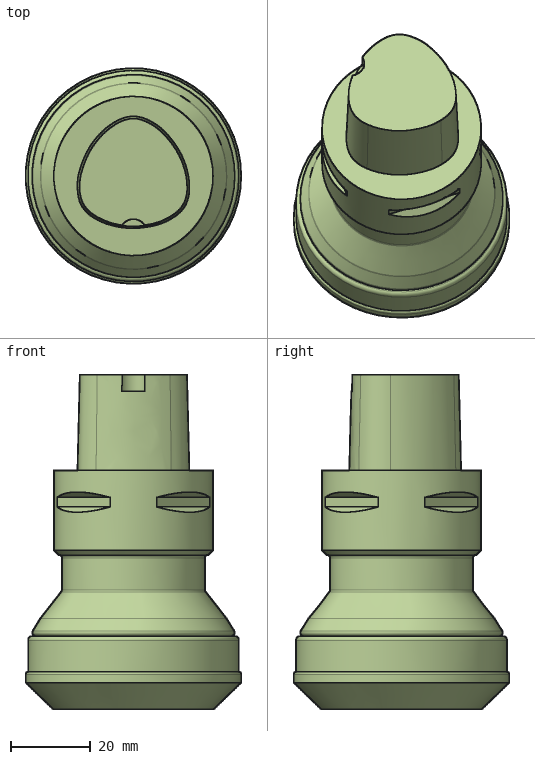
import cadquery as cq
import math

TOTAL_HEIGHT = 84.05

SHANK_HEIGHT = 24.0
SHANK_BASE_RADIUS = 14.08
SHANK_TOP_RADIUS = 13.49
LOBE_RISE = 0.9
LOBE_COUNT = 3
FIRST_LOBE_ANGLE = 90
CURVE_STEPS = 4

NOTCH_RADIUS = 3.4
NOTCH_CENTER_Y = -14.2
NOTCH_DEPTH = 4.2

FLANGE_RADIUS = 20.0
FLANGE_TOP = TOTAL_HEIGHT - SHANK_HEIGHT
FLANGE_HEIGHT = 21.3
FLANGE_BOTTOM = FLANGE_TOP - FLANGE_HEIGHT
FLANGE_CHAMFER = 1.2
SLOT_Z = 52.0
SLOT_FLOOR_RADIUS = 17.65
SLOT_FLOOR_HEIGHT = 2.35
SLOT_SIDE_ANGLE = 30
SLOT_ANGLES = (45, 135, 225, 315)
SLOT_CLEARANCE = 1.7

NECK_RADIUS = 18.0
NECK_BOTTOM = 29.75
NECK_FILLET = 0.7
SHOULDER_RADIUS = 23.4
SHOULDER_Z = 22.9
SHOULDER_ROUND = 1.3
SEAT_RADIUS = 26.1
SEAT_Z = 18.4
SEAT_ROUND = 0.8

RING_RADIUS = 26.52
RING_TOP_ROUND = 1.0
RIM_RADIUS = 27.11
RIM_TOP = 9.4
RIM_ROUND = RIM_RADIUS - RING_RADIUS
RIM_BOTTOM = 6.7
BASE_RADIUS = 20.2


def trilobe_point(mean_radius, angle):
    """Point of the trilobe where the outward normal has the given angle in degrees.

    The tangent line there lies at mean_radius + LOBE_RISE * cos(phase) from the axis.
    """
    normal = math.radians(angle)
    phase = LOBE_COUNT * math.radians(angle - FIRST_LOBE_ANGLE)
    reach = mean_radius + LOBE_RISE * math.cos(phase)
    slide = -LOBE_COUNT * LOBE_RISE * math.sin(phase)
    x = reach * math.cos(normal) - slide * math.sin(normal)
    y = reach * math.sin(normal) + slide * math.cos(normal)
    return x, y


def trilobe_tangent(angle):
    """Direction of travel along the trilobe at the given normal angle."""
    normal = math.radians(angle)
    return -math.sin(normal), math.cos(normal)


def trilobe_outline(workplane, mean_radius):
    """Closed outline of alternating lobe and flank curves, smooth at every joint."""
    span = 180 / LOBE_COUNT
    start = FIRST_LOBE_ANGLE - span / 2
    outline = workplane.moveTo(*trilobe_point(mean_radius, start))
    for piece in range(2 * LOBE_COUNT):
        first = start + piece * span
        last = first + span
        points = [
            trilobe_point(mean_radius, first + span * step / CURVE_STEPS)
            for step in range(1, CURVE_STEPS + 1)
        ]
        tangents = [trilobe_tangent(first), trilobe_tangent(last)]
        outline = outline.spline(points, tangents=tangents, includeCurrent=True)
    return outline.close()


def make_shank():
    """Tapered trilobe shank with a key notch."""
    base = cq.Workplane("XY", origin=(0, 0, FLANGE_TOP))
    outline = trilobe_outline(base, SHANK_BASE_RADIUS).workplane(offset=SHANK_HEIGHT)
    shank = trilobe_outline(outline, SHANK_TOP_RADIUS).loft(ruled=True)
    notch = (
        cq.Workplane("XY", origin=(0, NOTCH_CENTER_Y, TOTAL_HEIGHT - NOTCH_DEPTH))
        .circle(NOTCH_RADIUS)
        .extrude(NOTCH_DEPTH)
    )
    return shank.cut(notch)


def make_gripper_slot(angle):
    """Cutter for one straight flange slot with sloping sides."""
    outer = FLANGE_RADIUS + SLOT_CLEARANCE
    floor_half = SLOT_FLOOR_HEIGHT / 2
    outer_half = floor_half + (outer - SLOT_FLOOR_RADIUS) * math.tan(math.radians(SLOT_SIDE_ANGLE))
    slot = (
        cq.Workplane("XZ")
        .polyline([
            (SLOT_FLOOR_RADIUS, SLOT_Z - floor_half),
            (outer, SLOT_Z - outer_half),
            (outer, SLOT_Z + outer_half),
            (SLOT_FLOOR_RADIUS, SLOT_Z + floor_half),
        ])
        .close()
        .extrude(FLANGE_RADIUS, both=True)
    )
    return slot.rotate((0, 0, 0), (0, 0, 1), angle)


def circle_edge(radius, z):
    """Selector for the full circular edge at a radius and height."""
    tolerance = 0.01
    return cq.selectors.BoxSelector(
        (-radius - tolerance, -radius - tolerance, z - tolerance),
        (radius + tolerance, radius + tolerance, z + tolerance),
        boundingbox=True,
    )


def make_holder():
    """Shank, slotted flange, neck and flared shoulder."""
    body = (
        cq.Workplane("XZ")
        .polyline([
            (0, SEAT_Z),
            (SEAT_RADIUS, SEAT_Z),
            (SHOULDER_RADIUS, SHOULDER_Z),
            (NECK_RADIUS, NECK_BOTTOM),
            (NECK_RADIUS, FLANGE_BOTTOM),
            (FLANGE_RADIUS - FLANGE_CHAMFER, FLANGE_BOTTOM),
            (FLANGE_RADIUS, FLANGE_BOTTOM + FLANGE_CHAMFER),
            (FLANGE_RADIUS, FLANGE_TOP),
            (0, FLANGE_TOP),
        ])
        .close()
        .revolve(360, (0, 0), (0, 1))
    )
    body = body.edges(circle_edge(NECK_RADIUS, FLANGE_BOTTOM)).fillet(NECK_FILLET)
    body = body.edges(circle_edge(NECK_RADIUS, NECK_BOTTOM)).fillet(NECK_FILLET)
    body = body.edges(circle_edge(SHOULDER_RADIUS, SHOULDER_Z)).fillet(SHOULDER_ROUND)
    body = body.edges(circle_edge(SEAT_RADIUS, SEAT_Z)).fillet(SEAT_ROUND)
    for angle in SLOT_ANGLES:
        body = body.cut(make_gripper_slot(angle))
    return body.union(make_shank())


def make_ring():
    """Lower ring with a raised rim and a conical underside."""
    ring = (
        cq.Workplane("XZ")
        .moveTo(0, 0)
        .lineTo(BASE_RADIUS, 0)
        .lineTo(RIM_RADIUS, RIM_BOTTOM)
        .lineTo(RIM_RADIUS, RIM_TOP - RIM_ROUND)
        .radiusArc((RING_RADIUS, RIM_TOP), -RIM_ROUND)
        .lineTo(RING_RADIUS, SEAT_Z)
        .lineTo(0, SEAT_Z)
        .close()
        .revolve(360, (0, 0), (0, 1))
    )
    return ring.edges(circle_edge(RING_RADIUS, SEAT_Z)).fillet(RING_TOP_ROUND)


holder = make_holder()
ring = make_ring()
result = cq.Compound.makeCompound([holder.val(), ring.val()])